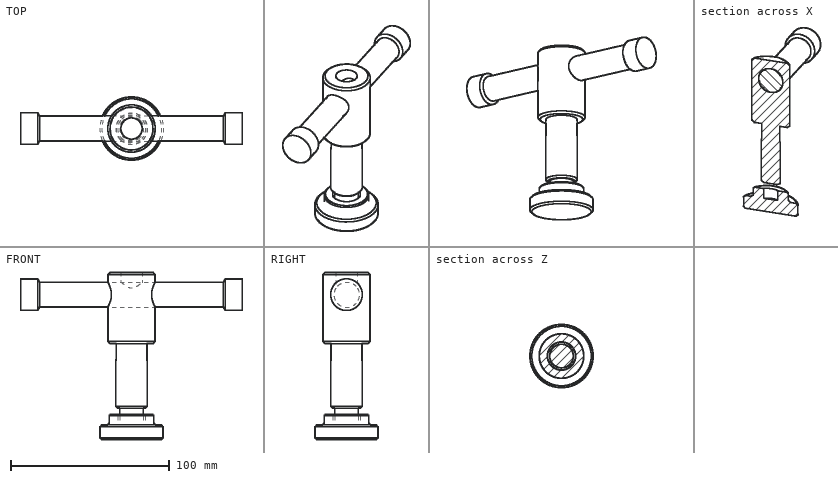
import cadquery as cq
import math

overall_height = 105.5

bar_length = 140.0
bar_radius = 8.0
bar_drop = 14.0
bar_height = overall_height - bar_drop
knob_radius = 10.01
knob_length = 11.9
knob_cone_angle = 30.0

head_radius = 15.0
head_length = 45.0
head_chamfer = 1.4
head_bottom = overall_height - head_length
top_hole_diameter = 13.5
shank_radius = 10.01
shank_bottom = 19.9
shank_chamfer = 1.3
collar_length = 10.1
thread_start = head_bottom - collar_length
step_length = 0.8
step_depth = 0.21
neck_radius = 7.5

flange_radius = 20.0
flange_height = 9.2
flange_chamfer = 1.3
boss_radius = 14.1
boss_top = 16.0
boss_chamfer = 0.8
boss_root_fillet = 1.8
socket_radius = 8.8
socket_floor = flange_height


def make_screw():
    """Turned head, shank and neck, cross-drilled for the bar and drilled from the top."""
    collar_radius = shank_radius - step_depth
    profile = [
        (0, socket_floor),
        (neck_radius, socket_floor),
        (neck_radius, shank_bottom),
        (shank_radius - shank_chamfer, shank_bottom),
        (shank_radius, shank_bottom + shank_chamfer),
        (shank_radius, thread_start - step_length),
        (collar_radius, thread_start),
        (collar_radius, head_bottom),
        (head_radius - head_chamfer, head_bottom),
        (head_radius, head_bottom + head_chamfer),
        (head_radius, overall_height - head_chamfer),
        (head_radius - head_chamfer, overall_height),
        (0, overall_height),
    ]
    body = cq.Workplane("XZ").polyline(profile).close().revolve(360, (0, 0), (0, 1))
    cross_hole = (
        cq.Workplane("YZ", origin=(0, 0, bar_height)).circle(bar_radius).extrude(head_radius, both=True)
    )
    top_hole = (
        cq.Workplane("XY", origin=(0, 0, bar_height)).circle(top_hole_diameter / 2).extrude(bar_drop)
    )
    return body.cut(cross_hole).cut(top_hole)


def make_bar():
    """Round bar with a knob at each end; each knob narrows to the bar in a short cone."""
    half_length = bar_length / 2
    cone_length = (knob_radius - bar_radius) * math.tan(math.radians(knob_cone_angle))
    knob_inner_end = half_length - knob_length
    cone_start = knob_inner_end + cone_length
    profile = [
        (-half_length, 0),
        (-half_length, knob_radius),
        (-cone_start, knob_radius),
        (-knob_inner_end, bar_radius),
        (knob_inner_end, bar_radius),
        (cone_start, knob_radius),
        (half_length, knob_radius),
        (half_length, 0),
    ]
    bar = cq.Workplane("XZ").polyline(profile).close().revolve(360, (0, 0), (1, 0))
    return bar.translate((0, 0, bar_height))


def make_foot_pad():
    """Chamfered flange and boss with a filleted root and a blind socket for the neck."""
    flange = cq.Workplane("XY").circle(flange_radius).extrude(flange_height)
    flange = flange.faces("<Z or >Z").chamfer(flange_chamfer)
    fillet_top = flange_height + boss_root_fillet
    fillet_offset = boss_root_fillet * (1 - math.sqrt(0.5))
    boss = (
        cq.Workplane("XZ")
        .moveTo(0, flange_height)
        .lineTo(boss_radius + boss_root_fillet, flange_height)
        .threePointArc(
            (boss_radius + fillet_offset, flange_height + fillet_offset),
            (boss_radius, fillet_top),
        )
        .lineTo(boss_radius, boss_top - boss_chamfer)
        .lineTo(boss_radius - boss_chamfer, boss_top)
        .lineTo(0, boss_top)
        .close()
        .revolve(360, (0, 0), (0, 1))
    )
    socket = (
        cq.Workplane("XY", origin=(0, 0, socket_floor)).circle(socket_radius).extrude(boss_top - socket_floor)
    )
    return flange.union(boss).cut(socket)


screw = make_screw()
bar = make_bar()
foot_pad = make_foot_pad()
result = cq.Compound.makeCompound([body.solids().val() for body in (screw, bar, foot_pad)])